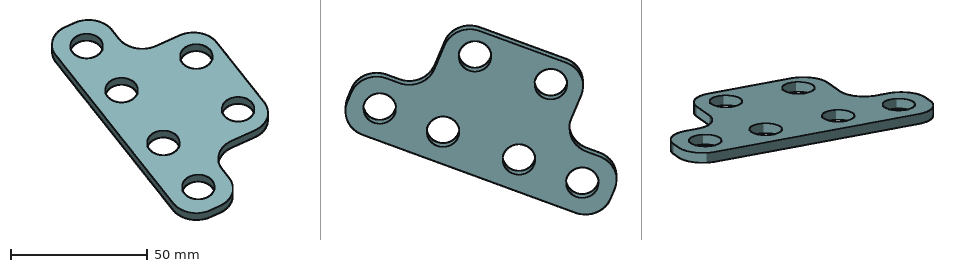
import cadquery as cq

length = 104.0
depth = 54.0
thickness = 4.0

base_depth = 24.0
block_width = depth
corner_radius = 10.0

hole_diameter = 12.0
base_hole_inset = base_depth / 2
inner_hole_spacing = 30.0
block_hole_inset = corner_radius

outer_hole_x = length / 2 - base_hole_inset
inner_hole_x = inner_hole_spacing / 2
base_hole_y = base_hole_inset
block_hole_y = depth - block_hole_inset


def make_plate():
    """T-shaped plate with every outer and inner corner rounded alike."""
    base = cq.Workplane("XY").rect(length, base_depth).extrude(thickness)
    base = base.translate((0, base_depth / 2, 0))
    block = cq.Workplane("XY").rect(block_width, depth).extrude(thickness)
    block = block.translate((0, depth / 2, 0))
    return base.union(block).clean().edges("|Z").fillet(corner_radius)


def make_holes():
    """Four holes along the base bar and two in the block."""
    centers = []
    for side in (-1, 1):
        centers.append((side * outer_hole_x, base_hole_y))
        centers.append((side * inner_hole_x, base_hole_y))
        centers.append((side * inner_hole_x, block_hole_y))
    return cq.Workplane("XY").pushPoints(centers).circle(hole_diameter / 2).extrude(thickness)


result = make_plate().cut(make_holes())